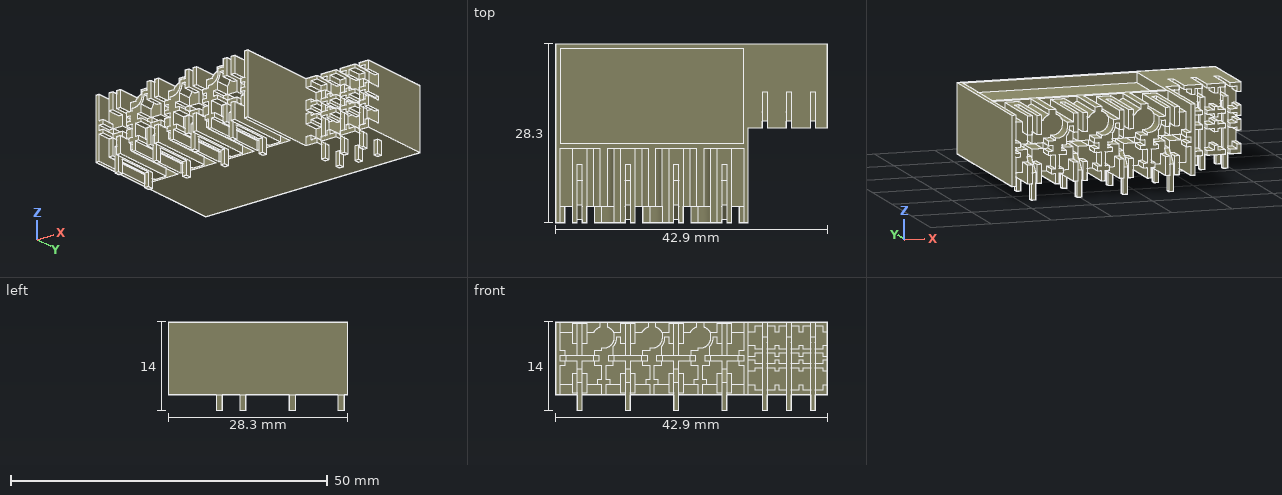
import cadquery as cq

LENGTH = 42.9
DEPTH = 28.3
HEIGHT = 11.5
PIN_LENGTH = 2.5
CONTACT_WIDTH = 0.77

POWER_LENGTH = 30.4
BAY_COUNT = 4
BAY_SPAN = 22.85
PITCH = BAY_SPAN / (BAY_COUNT - 1)
SIDE_WALL = 0.7
BAY_DEPTH = 11.75
WEB_DEPTH = 2.57
CORE_BOTTOM = 1.67
CORE_TOP = HEIGHT - CORE_BOTTOM

POCKET_RIM = 0.77
POCKET_DEPTH = CORE_BOTTOM

FORK_WIDTH = 2.3
FORK_HEIGHT = 3.1
FORK_INSET = 0.25

STRIP_WIDTH = 1.15
STEM_WIDTH = 0.65
FOOT_WIDTH = 1.95
FOOT_HEIGHT = 0.77
RIB_BOTTOM = 4.67
RIB_TOP = 7.0
RIB_EDGE = 2.3
RIB_WIDTH = PITCH - 2 * RIB_EDGE
GROOVE_BOTTOM = 5.3
GROOVE_TOP = 6.2
RIB_GROOVE_EDGE = 3.1
CORE_GROOVE_EDGE = 2.2
CORE_GROOVE_DEPTH = 6.7
BOSS_RADIUS = 1.8
CRADLE_INNER_RADIUS = 1.65
CRADLE_OUTER_RADIUS = 2.0
CRADLE_Z = RIB_TOP + CRADLE_OUTER_RADIUS
LEDGE_HEIGHT = 0.65

POWER_SLOT_END = 9.2
POWER_PIN_DEPTH = 1.05
POWER_PIN_FRONT = 0.5
POWER_PIN_TOP = 1.95
POWER_ARM_START = 2.85
POWER_ARM_TOP = 4.1

SIGNAL_FRONT = 14.95
SIGNAL_PITCH = PITCH / 2
SIGNAL_FIRST_X = 33.0
SIGNAL_COUNT = 3
SIGNAL_CELL_WIDTH = 3.17
SIGNAL_RECESS_END = SIGNAL_FRONT + WEB_DEPTH
SIGNAL_SLOT_END = 20.7
STAPLE_FRONT = 16.1
STAPLE_LEG_DEPTH = 0.95
STAPLE_TOP = 9.18
SIGNAL_LEVELS = [
    (0.77, 4.25, 0.77, 0.5),
    (4.97, 6.6, 0.5, 0.5),
    (7.25, 10.85, 0.5, 0.9),
]
UPPER_BAR_TOP = SIGNAL_LEVELS[-1][0]

BAY_CENTRES = [POWER_LENGTH / 2 + (i - (BAY_COUNT - 1) / 2) * PITCH for i in range(BAY_COUNT)]
WEB_CENTRES = [x + PITCH / 2 for x in BAY_CENTRES[:-1]]
SIGNAL_CENTRES = [SIGNAL_FIRST_X + i * SIGNAL_PITCH for i in range(SIGNAL_COUNT)]


def block(x0, x1, y0, y1, z0, z1):
    """Box between two opposite corners."""
    return cq.Workplane("XY").box(x1 - x0, y1 - y0, z1 - z0, centered=False).translate((x0, y0, z0))


def centred_block(x, width, y0, y1, z0, z1):
    """Box centred on x."""
    return block(x - width / 2, x + width / 2, y0, y1, z0, z1)


def rod(x, z, radius, y0, y1):
    """Cylinder along Y."""
    return cq.Workplane("XZ", origin=(x, y0, z)).circle(radius).extrude(y0 - y1)


def housing():
    """L-shaped block with the roof pocket; the bays are still empty."""
    body = block(0, POWER_LENGTH, 0, DEPTH, 0, HEIGHT)
    body = body.union(block(POWER_LENGTH, LENGTH, SIGNAL_FRONT, DEPTH, 0, HEIGHT))
    body = body.cut(block(SIDE_WALL, POWER_LENGTH - SIDE_WALL, 0, BAY_DEPTH, 0, HEIGHT))
    pocket = block(POCKET_RIM, POWER_LENGTH - POCKET_RIM, BAY_DEPTH + POCKET_RIM, DEPTH - POCKET_RIM,
                   HEIGHT - POCKET_DEPTH, HEIGHT)
    return body.cut(pocket)


def core():
    """Solid middle layer of the bays, set back from the front."""
    return block(SIDE_WALL, POWER_LENGTH - SIDE_WALL, WEB_DEPTH, BAY_DEPTH, CORE_BOTTOM, CORE_TOP)


def forks(x):
    """Upper and lower fork blades of one bay, not yet slotted."""
    top = HEIGHT - FORK_INSET
    lower = centred_block(x, FORK_WIDTH, 0, BAY_DEPTH, FORK_INSET, FORK_INSET + FORK_HEIGHT)
    upper = centred_block(x, FORK_WIDTH, 0, BAY_DEPTH, top - FORK_HEIGHT, top)
    return lower.union(upper)


def cradle(x):
    """Quarter shell on top of a web, tied to the next fork by a ledge."""
    shell = rod(x, CRADLE_Z, CRADLE_OUTER_RADIUS, 0, WEB_DEPTH)
    quadrant = block(x - STEM_WIDTH / 2, x + CRADLE_OUTER_RADIUS, 0, WEB_DEPTH, RIB_TOP,
                     CORE_TOP - LEDGE_HEIGHT)
    shell = shell.intersect(quadrant)
    shell = shell.union(block(x - STEM_WIDTH / 2, x + RIB_WIDTH / 2, 0, WEB_DEPTH, RIB_TOP,
                              CRADLE_Z - CRADLE_INNER_RADIUS / 2))
    fork_side = x + (PITCH - FORK_WIDTH) / 2
    shell = shell.union(block(x, fork_side, 0, WEB_DEPTH, CORE_TOP - LEDGE_HEIGHT, CORE_TOP))
    shell = shell.cut(block(x, x + CRADLE_INNER_RADIUS, 0, WEB_DEPTH, CRADLE_Z, CORE_TOP))
    return shell.cut(rod(x, CRADLE_Z, CRADLE_INNER_RADIUS, 0, WEB_DEPTH))


def web(x):
    """Partition between two bays."""
    partition = centred_block(x, STEM_WIDTH, 0, BAY_DEPTH, 0, RIB_TOP)
    partition = partition.union(centred_block(x, RIB_WIDTH, 0, WEB_DEPTH, RIB_BOTTOM, RIB_TOP))
    partition = partition.union(
        centred_block(x, FOOT_WIDTH, 0, WEB_DEPTH, CORE_BOTTOM, CORE_BOTTOM + FOOT_HEIGHT))
    partition = partition.union(centred_block(x, STRIP_WIDTH, WEB_DEPTH, BAY_DEPTH, CORE_BOTTOM, HEIGHT))
    partition = partition.union(rod(x, CRADLE_Z, BOSS_RADIUS, WEB_DEPTH, BAY_DEPTH))
    return partition.union(cradle(x))


def side_ribs():
    """Ribs on the inner faces of the two outer walls."""
    rib_end = BAY_CENTRES[0] - RIB_EDGE
    left = block(0, rib_end, 0, WEB_DEPTH, RIB_BOTTOM, RIB_TOP)
    return left.union(left.mirror("YZ", (POWER_LENGTH / 2, 0, 0)))


def bay_cuts(x):
    """Cross groove and contact slot of one bay."""
    cuts = centred_block(x, 2 * RIB_GROOVE_EDGE, 0, WEB_DEPTH, GROOVE_BOTTOM, GROOVE_TOP)
    cuts = cuts.union(
        centred_block(x, 2 * CORE_GROOVE_EDGE, 0, CORE_GROOVE_DEPTH, GROOVE_BOTTOM, GROOVE_TOP))
    return cuts.union(centred_block(x, CONTACT_WIDTH, 0, POWER_SLOT_END, 0, HEIGHT))


def power_contact(x):
    """Stepped contact plate with two solder pins."""
    profile = [
        (POWER_PIN_FRONT, -PIN_LENGTH),
        (POWER_PIN_FRONT, POWER_PIN_TOP),
        (POWER_ARM_START, POWER_ARM_TOP),
        (CORE_GROOVE_DEPTH, POWER_ARM_TOP),
        (CORE_GROOVE_DEPTH, GROOVE_TOP),
        (POWER_SLOT_END, GROOVE_TOP),
        (POWER_SLOT_END, -PIN_LENGTH),
        (POWER_SLOT_END - POWER_PIN_DEPTH, -PIN_LENGTH),
        (POWER_SLOT_END - POWER_PIN_DEPTH, 0),
        (POWER_PIN_FRONT + POWER_PIN_DEPTH, 0),
        (POWER_PIN_FRONT + POWER_PIN_DEPTH, -PIN_LENGTH),
    ]
    plane = cq.Workplane("YZ", origin=(x - CONTACT_WIDTH / 2, 0, 0))
    return plane.polyline(profile).close().extrude(CONTACT_WIDTH)


def lattice_cuts():
    """Open cells in the signal front; nubs between neighbouring cells remain on the bars."""
    cuts = cq.Workplane("XY")
    for bottom, top, lower_nub, upper_nub in SIGNAL_LEVELS:
        cuts = cuts.add(block(POWER_LENGTH, LENGTH, SIGNAL_FRONT, SIGNAL_RECESS_END,
                              bottom + lower_nub, top - upper_nub))
        for x in SIGNAL_CENTRES:
            cuts = cuts.add(centred_block(x, SIGNAL_CELL_WIDTH, SIGNAL_FRONT, SIGNAL_RECESS_END, bottom, top))
    return cuts.combine()


def signal_slot(x):
    """Slot for one staple: full height at the front leg, down to the upper bar behind it."""
    leg_slot = centred_block(x, CONTACT_WIDTH, SIGNAL_FRONT, STAPLE_FRONT + STAPLE_LEG_DEPTH, 0, HEIGHT)
    arm_slot = centred_block(x, CONTACT_WIDTH, SIGNAL_FRONT, SIGNAL_SLOT_END, UPPER_BAR_TOP, HEIGHT)
    return leg_slot.union(arm_slot)


def staple(x):
    """Signal contact: two long legs joined by an arm."""
    frame = centred_block(x, CONTACT_WIDTH, STAPLE_FRONT, SIGNAL_SLOT_END, -PIN_LENGTH, STAPLE_TOP)
    gap = centred_block(x, CONTACT_WIDTH, STAPLE_FRONT + STAPLE_LEG_DEPTH, SIGNAL_SLOT_END - STAPLE_LEG_DEPTH,
                        -PIN_LENGTH, STAPLE_TOP - STAPLE_LEG_DEPTH)
    return frame.cut(gap)


body = housing().union(core()).union(side_ribs())
for x in WEB_CENTRES:
    body = body.union(web(x))
for x in BAY_CENTRES:
    body = body.union(forks(x))
for x in BAY_CENTRES:
    body = body.cut(bay_cuts(x)).union(power_contact(x))

body = body.cut(lattice_cuts())
for x in SIGNAL_CENTRES:
    body = body.cut(signal_slot(x)).union(staple(x))

result = body